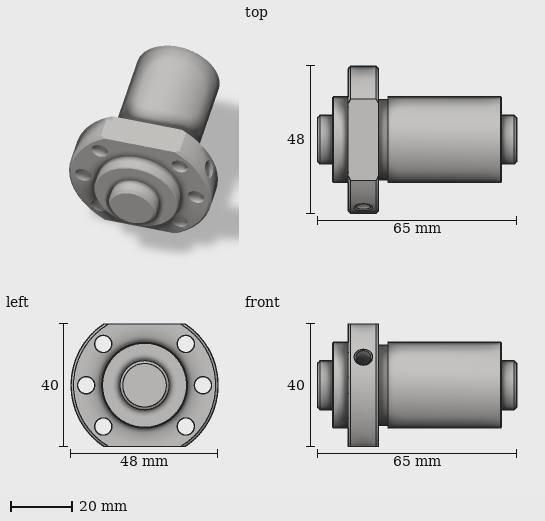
import cadquery as cq
import math

shaft_length = 65.0
shaft_diameter = 16.0
shaft_chamfer = 0.9

shaft_overhang = 5.0
nut_start = -shaft_length / 2 + shaft_overhang
nut_length = shaft_length - 2 * shaft_overhang
nut_diameter = 28.0
nut_chamfer = 0.3

flange_diameter = 48.0
flange_thickness = 10.0
flange_start = nut_start + shaft_overhang
flange_end = flange_start + flange_thickness
flange_middle = flange_start + flange_thickness / 2
flange_chamfer = 0.85
flat_distance = 40.0

neck_diameter = 26.3
neck_width = 3.0

bolt_hole_diameter = 5.5
bolt_circle_diameter = 38.0
bolt_spacing_angle = 45.0

port_diameter = 4.95
port_rim_diameter = 6.0
port_angle = bolt_spacing_angle / 2
port_countersink_depth = (port_rim_diameter - port_diameter) / 2


def cylinder_along_x(start, length, diameter):
    return cq.Workplane("YZ", origin=(start, 0, 0)).circle(diameter / 2).extrude(length)


def make_flange():
    disc = cylinder_along_x(flange_start, flange_thickness, flange_diameter).edges().chamfer(flange_chamfer)
    slab = cq.Workplane("XY").box(flange_thickness, flange_diameter, flat_distance)
    return disc.intersect(slab.translate((flange_middle, 0, 0)))


def make_bolt_holes():
    angles = [
        side + step * bolt_spacing_angle
        for side in (0, 180)
        for step in (-1, 0, 1)
    ]
    centres = [
        (
            bolt_circle_diameter / 2 * math.cos(math.radians(angle)),
            bolt_circle_diameter / 2 * math.sin(math.radians(angle)),
        )
        for angle in angles
    ]
    plane = cq.Workplane("YZ", origin=(flange_start, 0, 0))
    return plane.pushPoints(centres).circle(bolt_hole_diameter / 2).extrude(flange_thickness)


def make_oil_port():
    rim = flange_diameter / 2
    profile = [
        (0, 0),
        (port_diameter / 2, 0),
        (port_diameter / 2, -rim + port_countersink_depth),
        (port_rim_diameter / 2, -rim),
        (0, -rim),
    ]
    port = cq.Workplane("XY").polyline(profile).close().revolve(360, (0, 0), (0, 1))
    return port.translate((flange_middle, 0, 0)).rotate((0, 0, 0), (1, 0, 0), -port_angle)


def make_nut():
    sleeve = cylinder_along_x(nut_start, nut_length, nut_diameter).edges().chamfer(nut_chamfer)
    neck = cylinder_along_x(flange_end, neck_width, neck_diameter)
    relief = cylinder_along_x(flange_end, neck_width, flange_diameter).cut(neck)
    bore = cylinder_along_x(nut_start, nut_length, shaft_diameter)
    nut = sleeve.cut(relief).union(make_flange())
    return nut.cut(make_bolt_holes()).cut(make_oil_port()).cut(bore)


def make_shaft():
    return cylinder_along_x(-shaft_length / 2, shaft_length, shaft_diameter).edges().chamfer(shaft_chamfer)


nut = make_nut()
shaft = make_shaft()
result = cq.Compound.makeCompound([nut.solids().val(), shaft.val()])